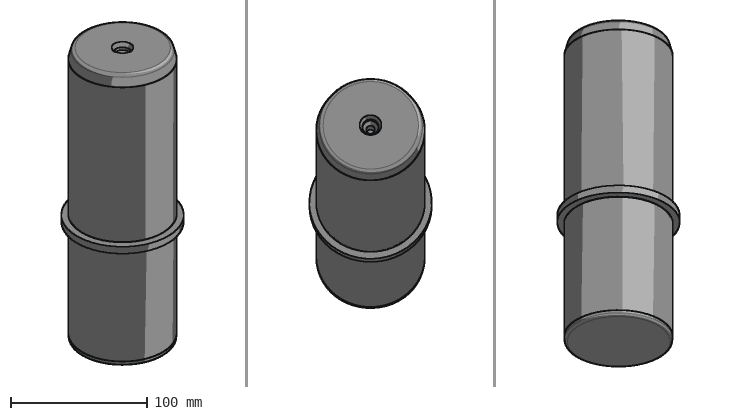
import cadquery as cq
import math

length = 250.0
shank_radius = 40.0
collar_radius = 45.0

collar_bottom = 100.0
collar_height = 6.0
collar_top = collar_bottom + collar_height

neck_chamfer = 1.0
neck_radius = shank_radius - neck_chamfer

end_relief = 0.2
end_radius = shank_radius - end_relief

upper_end_length = 10.0
land_bottom = length - upper_end_length
land_height = 0.8
taper_bottom = land_bottom + land_height
taper_angle = math.radians(15)
nose_radius = end_radius - (length - taper_bottom) * math.tan(taper_angle)
nose_fillet = 3.0

foot_height = 4.0
foot_fillet = 2.0

mouth_half_angle = math.radians(30)
seat_half_angle = math.radians(45)
mouth_radius = 8.0
seat_radius = 6.0
pilot_radius = 3.2
seat_depth = 2.5
pilot_depth = 7.5


def revolve_outline(points):
    """Turn a closed (radius, height) outline about the Z axis."""
    return cq.Workplane("XZ").polyline(points).close().revolve(360, (0, 0, 0), (0, 1, 0))


def make_body():
    body = revolve_outline([
        (0, 0),
        (end_radius, 0),
        (end_radius, foot_height),
        (shank_radius, foot_height),
        (shank_radius, collar_bottom - neck_chamfer),
        (neck_radius, collar_bottom),
        (collar_radius, collar_bottom),
        (collar_radius, collar_top),
        (neck_radius, collar_top),
        (shank_radius, collar_top + neck_chamfer),
        (shank_radius, land_bottom),
        (end_radius, land_bottom),
        (end_radius, taper_bottom),
        (nose_radius, length),
        (0, length),
    ])
    body = body.faces(">Z").edges().fillet(nose_fillet)
    return body.faces("<Z").edges().fillet(foot_fillet)


def make_centre_hole():
    seat_top = length - (mouth_radius - seat_radius) / math.tan(mouth_half_angle)
    seat_bottom = seat_top - seat_depth
    pilot_top = seat_bottom - (seat_radius - pilot_radius) / math.tan(seat_half_angle)
    pilot_bottom = pilot_top - pilot_depth
    return revolve_outline([
        (0, length),
        (mouth_radius, length),
        (seat_radius, seat_top),
        (seat_radius, seat_bottom),
        (pilot_radius, pilot_top),
        (pilot_radius, pilot_bottom),
        (0, pilot_bottom),
    ])


result = make_body().cut(make_centre_hole())